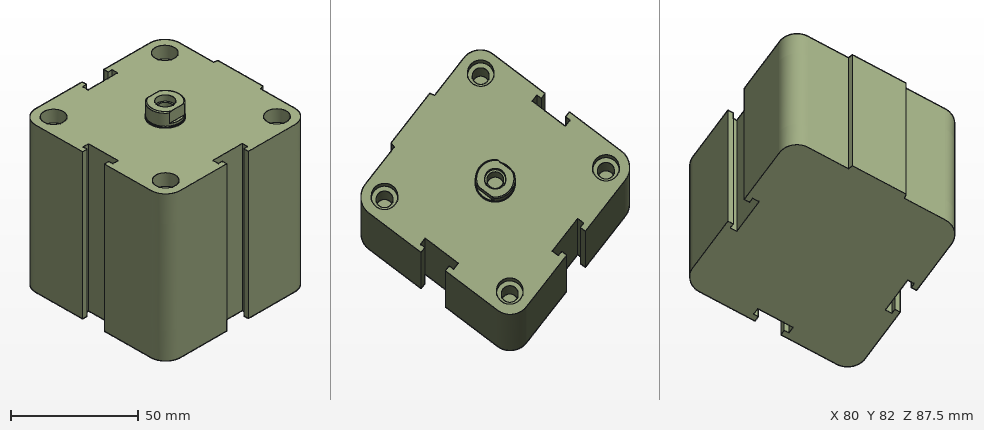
import cadquery as cq

side = 80.0
corner_radius = 8.2
housing_height = 80.0
cap_height = 14.5
barrel_height = housing_height - 2 * cap_height

slot_mouth_width = 12.0
slot_inner_width = 16.4
slot_depth = 5.5
slot_lip = 2.5
slot_angles = (-90, 0, 180)

pad_height = 2.0
pad_base_width = 26.0
pad_top_width = 25.0

hole_spacing = 62.0
hole_diameter = 6.65
hole_depth = 25.0
counterbore_diameter = 10.5
counterbore_depth = 6.5

rod_diameter = 16.0
rod_end_diameter = 15.6
rod_insertion = cap_height
rod_projection = 7.5
shoulder_height = 0.8
shoulder_chamfer_height = 0.4
rod_tip_chamfer = 0.5

flats_width = 13.0
flats_length = 5.5

thread_diameter = 6.65
thread_depth = 15.0
thread_recess_diameter = 8.3
thread_recess_depth = 3.0

rod_bottom = housing_height - rod_insertion
rod_top = housing_height + rod_projection
shoulder_top = housing_height + shoulder_height


def blind_hole(diameter, depth, top):
    """Cylindrical cutter on the Z axis, going down from the given level."""
    return cq.Workplane("XY", origin=(0, 0, top)).circle(diameter / 2).extrude(-depth)


def t_slot(length):
    """T-slot cutter opening on the +X side."""
    mouth = cq.Workplane("XY").box(slot_depth, slot_mouth_width, length, centered=(False, True, False))
    inner = cq.Workplane("XY").box(
        slot_depth - slot_lip, slot_inner_width, length, centered=(False, True, False)
    )
    return mouth.union(inner).translate((side / 2 - slot_depth, 0, 0))


def back_pad(length):
    """Pad on the +Y face, narrowing outward."""
    back = side / 2
    return (
        cq.Workplane("XY")
        .moveTo(-pad_base_width / 2, back)
        .lineTo(pad_base_width / 2, back)
        .lineTo(pad_top_width / 2, back + pad_height)
        .lineTo(-pad_top_width / 2, back + pad_height)
        .close()
        .extrude(length)
    )


def profile_section(length, bottom):
    """Piece of the housing profile: rounded square with pad and T-slots."""
    section = cq.Workplane("XY").rect(side, side).extrude(length).edges("|Z").fillet(corner_radius)
    section = section.union(back_pad(length))
    for angle in slot_angles:
        section = section.cut(t_slot(length).rotate((0, 0, 0), (0, 0, 1), angle))
    return section.translate((0, 0, bottom))


def make_housing():
    """Caps and barrel as one solid; clean=False keeps the joint lines on its surface."""
    body = profile_section(cap_height, 0)
    body = body.union(profile_section(barrel_height, cap_height), clean=False)
    body = body.union(profile_section(cap_height, housing_height - cap_height), clean=False)

    for x in (-hole_spacing / 2, hole_spacing / 2):
        for y in (-hole_spacing / 2, hole_spacing / 2):
            hole = blind_hole(hole_diameter, hole_depth, housing_height)
            counterbore = blind_hole(counterbore_diameter, counterbore_depth, housing_height)
            body = body.cut(hole.union(counterbore).translate((x, y, 0)), clean=False)

    return body.cut(blind_hole(rod_diameter, rod_insertion, housing_height), clean=False)


def make_rod():
    """Rod seated in the housing bore, with wrench flats and a threaded hole in its end."""
    shoulder_step = (rod_diameter - rod_end_diameter) / 2
    shank = (
        cq.Workplane("XY", origin=(0, 0, rod_bottom))
        .circle(rod_diameter / 2)
        .extrude(shoulder_top - rod_bottom)
        .faces(">Z")
        .chamfer(shoulder_chamfer_height, shoulder_step)
    )
    end = (
        cq.Workplane("XY", origin=(0, 0, rod_bottom))
        .circle(rod_end_diameter / 2)
        .extrude(rod_top - rod_bottom)
        .faces(">Z")
        .chamfer(rod_tip_chamfer)
    )
    body = shank.union(end)

    for direction in (-1, 1):
        flat_center = direction * (flats_width + rod_diameter) / 2
        flat = (
            cq.Workplane("XY", origin=(flat_center, 0, rod_top))
            .rect(rod_diameter, rod_diameter)
            .extrude(-flats_length)
        )
        body = body.cut(flat)

    body = body.cut(blind_hole(thread_diameter, thread_depth, rod_top))
    return body.cut(blind_hole(thread_recess_diameter, thread_recess_depth, rod_top))


housing = make_housing()
rod = make_rod()
result = cq.Compound.makeCompound([housing.solids().val(), rod.solids().val()])